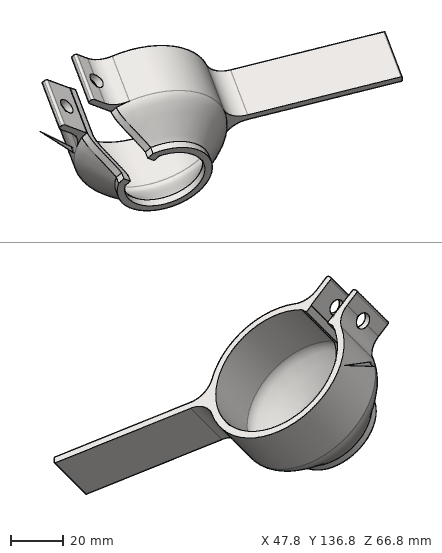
import cadquery as cq
import math

wall = 3.0
ring_radius = 30.5
ring_width = 22.3
neck_radius = 19.0
funnel_length = 15.7
neck_length = 3.0
funnel_start_slope = -0.1
funnel_end_slope = -0.6

slot_tilt = 45.0
slot_half_width = 6.7
lip_face = slot_half_width + wall
tab_thickness = 2.8
tab_tip = 42.25
tab_edge_radius = 1.0
hole_diameter = 6.4
hole_height = 35.4

handle_end = ring_radius + 70.0
handle_edge_radius = 0.5

blend_radius = 10.0

sliver_thickness = 0.1
sliver_root_heights = (6.9, 4.2)
sliver_root_radius = ring_radius - 0.05
sliver_tip = cq.Vector(-6.77, -35.0, -17.6)

neck_start = ring_width + funnel_length
neck_end = neck_start + neck_length


def chord_height(radius, offset):
    """Height of a circle about the axis at a sideways offset."""
    return math.sqrt(radius ** 2 - offset ** 2)


def solid_of_revolution(ring_r, neck_r):
    """Cylinder, S-shaped funnel and neck filled down to the X axis."""
    third = funnel_length / 3
    funnel_curve = [
        (ring_width + third, ring_r + funnel_start_slope * third),
        (neck_start - third, neck_r - funnel_end_slope * third),
        (neck_start, neck_r),
    ]
    return (
        cq.Workplane("XY")
        .lineTo(0, ring_r)
        .lineTo(ring_width, ring_r)
        .bezier(funnel_curve, includeCurrent=True)
        .lineTo(neck_end, neck_r)
        .lineTo(neck_end, 0)
        .close()
        .revolve(360, (0, 0, 0), (1, 0, 0))
    )


def box_between(x_range, y_range, z_range):
    """Box given by its limits along each axis."""
    size = [high - low for low, high in (x_range, y_range, z_range)]
    corner = (x_range[0], y_range[0], z_range[0])
    return cq.Workplane("XY").box(*size, centered=False).translate(corner)


def ring_blend(plate_face):
    """Concave fillet between the ring and a plate rising along +Z with its face at Y = plate_face."""
    center_y = plate_face + blend_radius
    center_z = chord_height(ring_radius + blend_radius, center_y)
    ring_share = ring_radius / (ring_radius + blend_radius)
    ring_point = (center_y * ring_share, center_z * ring_share)
    plate_point = (plate_face, center_z)
    mid_y = (ring_point[0] + plate_point[0]) / 2 - center_y
    mid_z = (ring_point[1] + plate_point[1]) / 2 - center_z
    reach = blend_radius / math.hypot(mid_y, mid_z)
    arc_middle = (center_y + mid_y * reach, center_z + mid_z * reach)
    return (
        cq.Workplane("YZ")
        .moveTo(plate_face, chord_height(ring_radius, plate_face))
        .lineTo(*plate_point)
        .threePointArc(arc_middle, ring_point)
        .close()
        .extrude(ring_width)
    )


def slotted_shell():
    """Hollow ring and funnel with the slot, whose edges are carried straight inwards as lips."""
    outside = solid_of_revolution(ring_radius, neck_radius)
    inside = solid_of_revolution(ring_radius - wall, neck_radius - wall)
    slot = box_between((0, neck_end), (-lip_face, lip_face), (0, ring_radius))
    shell = outside.cut(inside).cut(slot)
    body = shell
    for face in shell.faces("|Y").vals():
        lip = cq.Solid.extrudeLinear(face, face.normalAt() * wall)
        body = body.union(cq.Workplane(lip))
    return body


def clamping_tab():
    """Tab on the +Y side of the slot with its rounded end and blend."""
    tab_base = chord_height(ring_radius, lip_face)
    tab = box_between((0, ring_width), (lip_face - tab_thickness, lip_face), (tab_base, tab_tip))
    tab = tab.faces(">Z").edges("|X").fillet(tab_edge_radius)
    return tab.union(ring_blend(lip_face))


def clamp():
    """Slotted shell with both tabs and the bolt hole, slot pointing along +Z."""
    tab = clamping_tab()
    body = slotted_shell().union(tab).union(tab.mirror("XZ"))
    bolt_hole = (
        cq.Workplane("XZ")
        .center(ring_width / 2, hole_height)
        .circle(hole_diameter / 2)
        .extrude(ring_radius, both=True)
    )
    return body.cut(bolt_hole)


def handle():
    """Flat handle rising along +Z, blended into the ring on both sides."""
    half = wall / 2
    plate = box_between((0, ring_width), (-half, half), (ring_radius - half, handle_end))
    plate = plate.faces(">Z").edges("|X").fillet(handle_edge_radius)
    blend = ring_blend(half)
    return plate.union(blend).union(blend.mirror("XZ"))


def sliver():
    """Thin triangular fin from the funnel end of the ring to a free tip beyond its open face."""
    root = [
        cq.Vector(ring_width, -chord_height(sliver_root_radius, height), height)
        for height in sliver_root_heights
    ]
    normal = (root[1] - root[0]).cross(sliver_tip - root[0]).normalized()
    outline = cq.Wire.makePolygon([*root, sliver_tip], close=True)
    return cq.Workplane(cq.Solid.extrudeLinear(outline, [], normal * sliver_thickness))


def turn_about_axis(body, angle):
    """Rotate a body about the ring axis."""
    return body.rotate((0, 0, 0), (1, 0, 0), angle)


result = (
    turn_about_axis(clamp(), slot_tilt)
    .union(turn_about_axis(handle(), -90))
    .union(sliver())
)